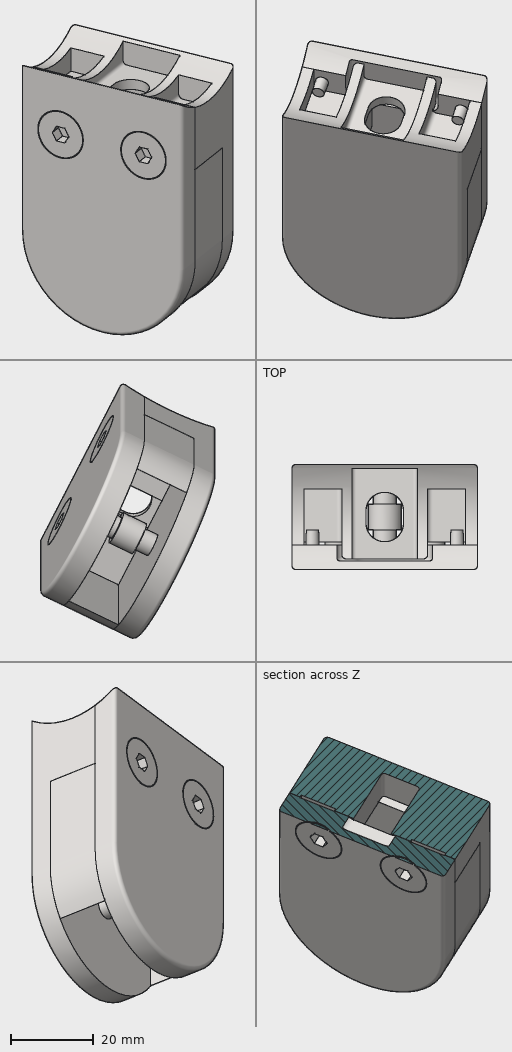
import cadquery as cq
import math

width = 45.0
depth = 25.5
height = 67.25
end_radius = width / 2
back_y = depth / 2
front_y = -back_y
top_z = height - end_radius
edge_fillet = 1.0

saddle_radius = 21.2
saddle_z = top_z + math.sqrt(saddle_radius**2 - back_y**2)

slot_half = 6.7
block_bottom_z = top_z - 20.0

tongue_half = 10.35
tongue_front_y = -10.15
tongue_bottom_z = top_z - 9.6
tongue_corner = 1.0
recess_clearance_x = 1.2
recess_clearance_y = 0.5
recess_clearance_z = 0.5
recess_half = tongue_half + recess_clearance_x
recess_front_y = tongue_front_y - recess_clearance_y
recess_side_z = tongue_bottom_z - recess_clearance_z
recess_floor_half = 4.9
recess_step_x = 6.7
recess_shelf_x = 7.8
recess_step_angle = 45.0
recess_corner = 2.5
recess_edge_fillet = 0.7

pocket_half = 7.9
pocket_back_y = 11.8
pocket_floor_z = top_z - 6.9
pocket_fillet = 0.95
bolt_slot_length = 12.0
bolt_slot_width = 9.0
cavity_half = 5.05
cavity_back_y = 8.95
cavity_corner = 0.8

side_pocket_outer_x = 19.6
side_pocket_back_y = slot_half
side_pocket_floor_z = top_z - 9.5
side_pocket_fillet = 1.2
relief_depth = 0.7

peg_x = 17.5
peg_z = top_z - 7.1
peg_root_radius = 1.6
peg_taper = 2.0
peg_end_y = -3.1

screw_x = 11.5
screw_z = top_z - 16.2
screw_radius = 3.0
head_radius = 6.1
countersink_radius = 6.3
screw_end_y = 4.05
hex_across_flats = 4.0
hex_across_corners = hex_across_flats / math.cos(math.pi / 6)
hex_depth = 3.0

spacer_inner_x = 18.5
pin_radius = 2.8
pin_z = 0.0
sleeve_radius = 4.05
sleeve_half = 3.1

SIDES = (-1, 1)


def box(x_range, y_range, z_range):
    """Box between the given limits on each axis."""
    sizes = [high - low for low, high in (x_range, y_range, z_range)]
    corner = (x_range[0], y_range[0], z_range[0])
    return cq.Workplane("XY").box(*sizes, centered=False).translate(corner)


def rod(radius, x, z, y_start, y_end):
    """Round bar along Y."""
    plane = cq.Workplane("XZ", origin=(x, y_start, z))
    return plane.circle(radius).extrude(y_start - y_end)


def d_plate(y_start, y_end):
    """D-shaped plate: straight sides and top above a semicircular lower end."""
    return (
        cq.Workplane("XZ", origin=(0, y_start, 0))
        .moveTo(-end_radius, top_z)
        .lineTo(-end_radius, 0)
        .threePointArc((0, -end_radius), (end_radius, 0))
        .lineTo(end_radius, top_z)
        .close()
        .extrude(y_start - y_end)
    )


def saddle():
    """Cylinder along X that hollows out the top."""
    plane = cq.Workplane("YZ").center(0, saddle_z)
    return plane.circle(saddle_radius).extrude(width, both=True)


def tongue():
    """Block on the base front, with rounded vertical corners."""
    block = box((-tongue_half, tongue_half), (tongue_front_y, 0), (tongue_bottom_z, top_z))
    return block.edges("|Z and <Y").fillet(tongue_corner)


def side_pocket(side):
    """Open-fronted side pocket with a rounded inner floor edge and a relief below it."""
    x_limits = sorted((side * tongue_half, side * side_pocket_outer_x))
    pocket = box(x_limits, (-slot_half, side_pocket_back_y), (side_pocket_floor_z, top_z))
    inner_edge = "|Y and <Z and " + ("<X" if side > 0 else ">X")
    pocket = pocket.edges(inner_edge).fillet(side_pocket_fillet)
    relief = box(
        x_limits,
        (-slot_half, relief_depth - slot_half),
        (block_bottom_z, side_pocket_floor_z + side_pocket_fillet),
    )
    return pocket.union(relief)


def central_pocket():
    """Open-fronted pocket with rounded floor edges."""
    pocket = box(
        (-pocket_half, pocket_half), (tongue_front_y, pocket_back_y), (pocket_floor_z, top_z)
    )
    return pocket.edges("|Y and <Z").fillet(pocket_fillet)


def bolt_slot():
    """Vertical slot through the floor of the central pocket."""
    plane = cq.Workplane("XY", origin=(0, 0, tongue_bottom_z))
    return plane.slot2D(bolt_slot_length, bolt_slot_width, 90).extrude(top_z - tongue_bottom_z)


def cavity():
    """Space below the bolt slot, open to the front and to the glass slot."""
    space = box(
        (-cavity_half, cavity_half),
        (-slot_half, cavity_back_y),
        (block_bottom_z, tongue_bottom_z),
    )
    return space.edges("|Z and >Y").fillet(cavity_corner)


def make_base():
    """Rear plate with the upper block, tongue and pockets."""
    base = d_plate(-slot_half, back_y)
    base = base.faces(">Y").edges("not >Z").fillet(edge_fillet)
    base = base.cut(box((-width, width), (-depth, slot_half), (-height, block_bottom_z)))
    base = base.union(tongue())
    base = base.cut(saddle()).cut(central_pocket()).cut(bolt_slot()).cut(cavity())
    for side in SIDES:
        base = base.cut(side_pocket(side))
        base = base.cut(rod(screw_radius, side * screw_x, screw_z, front_y, screw_end_y))
    return base


def tongue_recess():
    """Recess for the tongue; its floor steps down in the middle between the screws."""
    step_slope = math.tan(math.radians(recess_step_angle) / 2)
    step_z = recess_side_z - (recess_shelf_x - recess_step_x) * step_slope
    floor_z = step_z - (recess_step_x - recess_floor_half) * step_slope
    recess = (
        cq.Workplane("XZ", origin=(0, -slot_half, 0))
        .moveTo(-recess_floor_half, floor_z)
        .lineTo(recess_floor_half, floor_z)
        .tangentArcPoint((recess_step_x, step_z), relative=False)
        .tangentArcPoint((recess_shelf_x, recess_side_z), relative=False)
        .lineTo(recess_half - recess_corner, recess_side_z)
        .tangentArcPoint((recess_half, recess_side_z + recess_corner), relative=False)
        .lineTo(recess_half, top_z)
        .lineTo(-recess_half, top_z)
        .lineTo(-recess_half, recess_side_z + recess_corner)
        .tangentArcPoint((recess_corner - recess_half, recess_side_z), relative=False)
        .lineTo(-recess_shelf_x, recess_side_z)
        .tangentArcPoint((-recess_step_x, step_z), relative=False)
        .tangentArcPoint((-recess_floor_half, floor_z), relative=False)
        .close()
        .extrude(-slot_half - recess_front_y)
    )
    return recess.faces("<Y").edges("|Z").fillet(recess_edge_fillet)


def countersink(top_radius):
    """Cone of 90 degrees that narrows from the front face to the screw shank."""
    cone = cq.Solid.makeCone(
        top_radius,
        screw_radius,
        top_radius - screw_radius,
        pnt=cq.Vector(0, front_y, 0),
        dir=cq.Vector(0, 1, 0),
    )
    return cq.Workplane(obj=cone)


def peg(side):
    """Slightly tapered round peg on the inner face of the cover."""
    plane = cq.Workplane("XZ", origin=(side * peg_x, -slot_half, peg_z))
    return plane.circle(peg_root_radius).extrude(-slot_half - peg_end_y, taper=peg_taper)


def make_cover():
    """Front plate with the tongue recess, pegs and countersunk screw holes."""
    cover = d_plate(front_y, -slot_half)
    cover = cover.faces("<Y").edges("not >Z").fillet(edge_fillet)
    cover = cover.cut(tongue_recess()).cut(saddle())
    for side in SIDES:
        cover = cover.cut(countersink(countersink_radius).translate((side * screw_x, 0, screw_z)))
        cover = cover.cut(rod(screw_radius, side * screw_x, screw_z, front_y, -slot_half))
        cover = cover.union(peg(side))
    return cover


def make_screw(side):
    """Countersunk screw with a hexagon socket, flush with the cover."""
    screw = rod(screw_radius, 0, 0, front_y, screw_end_y)
    screw = screw.union(countersink(head_radius))
    front_plane = cq.Workplane("XZ", origin=(0, front_y, 0))
    socket = front_plane.polygon(6, hex_across_corners).extrude(-hex_depth)
    return screw.cut(socket).translate((side * screw_x, 0, screw_z))


def make_spacer(side):
    """Edge strip that closes one side of the glass slot and follows the round end."""
    x_limits = sorted((side * spacer_inner_x, side * end_radius))
    strip = box(x_limits, (-slot_half, slot_half), (-end_radius, block_bottom_z))
    return strip.intersect(d_plate(-slot_half, slot_half))


def make_pin():
    """Safety pin across the glass slot."""
    return rod(pin_radius, 0, pin_z, -slot_half, slot_half)


def make_sleeve():
    """Ring around the middle of the safety pin."""
    sleeve = rod(sleeve_radius, 0, pin_z, -sleeve_half, sleeve_half)
    return sleeve.cut(make_pin())


base = make_base()
cover = make_cover()
screws = [make_screw(side) for side in SIDES]
spacers = [make_spacer(side) for side in SIDES]
pin = make_pin()
sleeve = make_sleeve()

result = cq.Compound.makeCompound(
    [
        base.val(),
        cover.val(),
        *[screw.val() for screw in screws],
        *[spacer.val() for spacer in spacers],
        pin.val(),
        sleeve.val(),
    ]
)